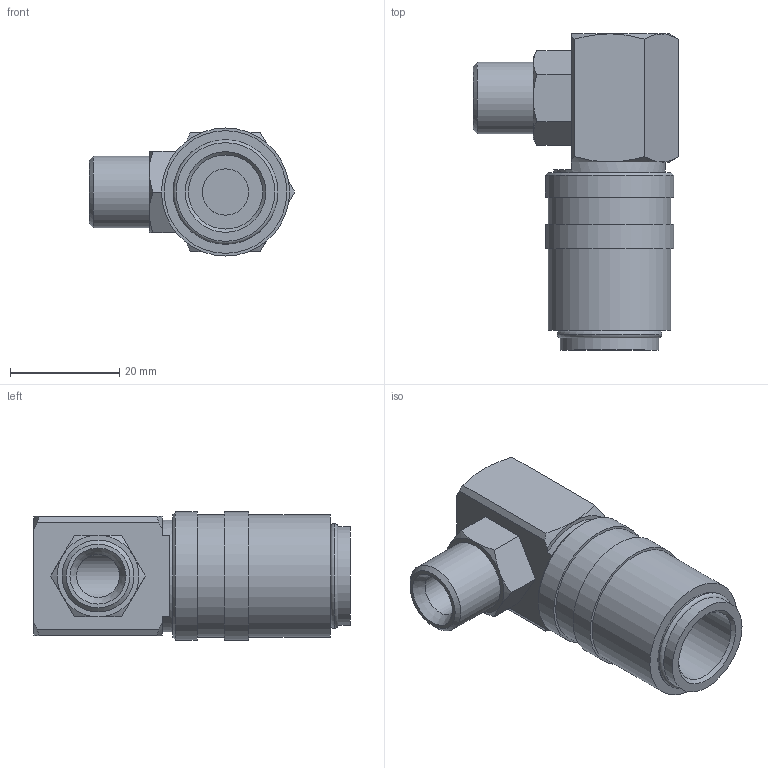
import cadquery as cq
import math


BODY_ACROSS_FLATS = 22.0
BODY_LENGTH = 23.5
BODY_FACE_X = -7.0

NECK_RADIUS = 10.25
NECK_FLAT_END_Y = -13.2

SLEEVE_RADIUS = 11.25
RING_RADIUS = 11.75
RING_CHAMFER = 0.5
SLEEVE_START_Y = -13.7
FIRST_RING_END_Y = -18.2
SECOND_RING_START_Y = -23.2
SECOND_RING_END_Y = -27.65
SLEEVE_END_Y = -42.65

WIRE_RADIUS = 0.7
WIRE_RING_OUTER_RADIUS = 9.6
TIP_RADIUS = 9.05
TIP_END_Y = -46.25

SOCKET_RADIUS = 6.8
SOCKET_MOUTH_RADIUS = 7.4
SOCKET_FLOOR_Y = SECOND_RING_START_Y
PASSAGE_RADIUS = 4.25

NIPPLE_RADIUS = 6.6
NIPPLE_END_X = -25.0
NIPPLE_CHAMFER = 0.75
NIPPLE_HEX_ACROSS_FLATS = 15.0
NIPPLE_HEX_START_X = -14.0
NIPPLE_BORE_RADIUS = 3.95
NIPPLE_MOUTH_RADIUS = 5.15
NIPPLE_MOUTH_DEPTH = 2.0

HEX_CHAMFER_ANGLE = 30.0


def hex_corner_radius(across_flats):
    return across_flats / math.sqrt(3)


def hex_chamfer_length(across_flats):
    """Axial length, at the corners, of a cone that starts from the inscribed circle."""
    depth = hex_corner_radius(across_flats) - across_flats / 2
    return depth * math.tan(math.radians(HEX_CHAMFER_ANGLE))


def turned_on_y(points):
    """Solid of revolution about Y from (radius, y) points."""
    return cq.Workplane("XY").polyline(points).close().revolve(360, (0, 0), (0, 1))


def turned_on_x(points):
    """Solid of revolution about X from (x, radius) points."""
    return cq.Workplane("XY").polyline(points).close().revolve(360, (0, 0), (1, 0))


def make_body():
    """Hexagon with corners on +X and -X, coned at both ends and cut flat on -X."""
    end_y = BODY_LENGTH / 2
    inner = BODY_ACROSS_FLATS / 2
    outer = hex_corner_radius(BODY_ACROSS_FLATS)
    cone_y = end_y - hex_chamfer_length(BODY_ACROSS_FLATS)
    hexagon = (
        cq.Workplane("XZ")
        .polygon(6, 2 * outer)
        .extrude(end_y, both=True)
    )
    envelope = turned_on_y([
        (0, -end_y), (inner, -end_y), (outer, -cone_y),
        (outer, cone_y), (inner, end_y), (0, end_y),
    ])
    neck = turned_on_y([
        (0, 0), (NECK_RADIUS, 0), (NECK_RADIUS, NECK_FLAT_END_Y), (0, NECK_FLAT_END_Y),
    ])
    waste = (
        cq.Workplane("XY")
        .box(outer, 2 * BODY_LENGTH, 2 * outer)
        .translate((BODY_FACE_X - outer / 2, 0, 0))
    )
    return hexagon.intersect(envelope).union(neck).cut(waste)


def make_sleeve():
    """Neck root, ringed sleeve, tip and wire ring."""
    sleeve = turned_on_y([
        (0, NECK_FLAT_END_Y),
        (NECK_RADIUS, NECK_FLAT_END_Y),
        (NECK_RADIUS, SLEEVE_START_Y),
        (RING_RADIUS - RING_CHAMFER, SLEEVE_START_Y),
        (RING_RADIUS, SLEEVE_START_Y - RING_CHAMFER),
        (RING_RADIUS, FIRST_RING_END_Y),
        (SLEEVE_RADIUS, FIRST_RING_END_Y),
        (SLEEVE_RADIUS, SECOND_RING_START_Y),
        (RING_RADIUS, SECOND_RING_START_Y),
        (RING_RADIUS, SECOND_RING_END_Y),
        (SLEEVE_RADIUS, SECOND_RING_END_Y),
        (SLEEVE_RADIUS, SLEEVE_END_Y),
        (TIP_RADIUS, SLEEVE_END_Y),
        (TIP_RADIUS, TIP_END_Y),
        (0, TIP_END_Y),
    ])
    wire_ring = (
        cq.Workplane("XY")
        .moveTo(WIRE_RING_OUTER_RADIUS - WIRE_RADIUS, SLEEVE_END_Y - WIRE_RADIUS)
        .circle(WIRE_RADIUS)
        .revolve(360, (0, 0), (0, 1))
    )
    return sleeve.union(wire_ring)


def make_nipple():
    """Round spigot and its hexagon, which has corners on +Y and -Y."""
    inner = NIPPLE_HEX_ACROSS_FLATS / 2
    outer = hex_corner_radius(NIPPLE_HEX_ACROSS_FLATS)
    cone_x = NIPPLE_HEX_START_X + hex_chamfer_length(NIPPLE_HEX_ACROSS_FLATS)
    hexagon = (
        cq.Workplane("YZ", origin=(NIPPLE_HEX_START_X, 0, 0))
        .polygon(6, 2 * outer)
        .extrude(BODY_FACE_X - NIPPLE_HEX_START_X)
    )
    envelope = turned_on_x([
        (NIPPLE_HEX_START_X, 0), (NIPPLE_HEX_START_X, inner), (cone_x, outer),
        (BODY_FACE_X, outer), (BODY_FACE_X, 0),
    ])
    spigot = turned_on_x([
        (NIPPLE_END_X, 0),
        (NIPPLE_END_X, NIPPLE_RADIUS - NIPPLE_CHAMFER),
        (NIPPLE_END_X + NIPPLE_CHAMFER, NIPPLE_RADIUS),
        (NIPPLE_HEX_START_X, NIPPLE_RADIUS),
        (NIPPLE_HEX_START_X, 0),
    ])
    return hexagon.intersect(envelope).union(spigot)


def make_socket_bore():
    """Socket with chamfered mouth, then the passage to just past the nipple axis."""
    mouth_y = TIP_END_Y + SOCKET_MOUTH_RADIUS - SOCKET_RADIUS
    return turned_on_y([
        (0, TIP_END_Y),
        (SOCKET_MOUTH_RADIUS, TIP_END_Y),
        (SOCKET_RADIUS, mouth_y),
        (SOCKET_RADIUS, SOCKET_FLOOR_Y),
        (PASSAGE_RADIUS, SOCKET_FLOOR_Y),
        (PASSAGE_RADIUS, PASSAGE_RADIUS),
        (0, PASSAGE_RADIUS),
    ])


def make_nipple_bore():
    """Countersunk bore that meets the passage at right angles."""
    return turned_on_x([
        (NIPPLE_END_X, 0),
        (NIPPLE_END_X, NIPPLE_MOUTH_RADIUS),
        (NIPPLE_END_X + NIPPLE_MOUTH_DEPTH, NIPPLE_BORE_RADIUS),
        (0, NIPPLE_BORE_RADIUS),
        (0, 0),
    ])


outside = make_body().union(make_sleeve()).union(make_nipple())
result = outside.cut(make_socket_bore()).cut(make_nipple_bore())